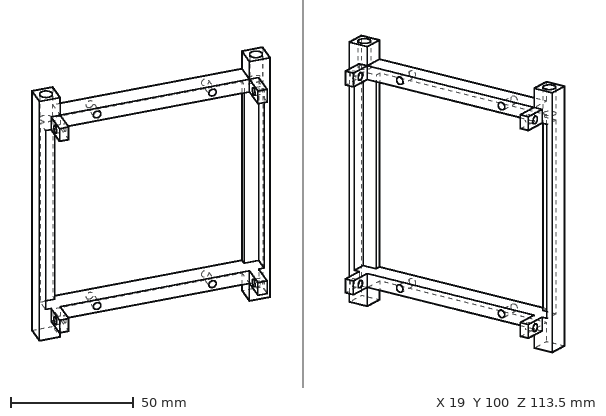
import cadquery as cq

height = 113.5
width = 100.0
depth = 19.0

post = 9.0
post_hole_diameter = 5.2
post_hole_depth = 11.4

wall = 2.6

bar_height = 6.0
bar_center_offset = 45.4
bar_hole_spacing = 50.0
screw_diameter = 3.2

tab_thickness = 4.0
tab_length = depth - post
tab_hole_x = post + tab_length / 2

post_y = (width - post) / 2
tab_y = width / 2 - post + tab_thickness / 2
recess_depth = post - wall
recess_height = 2 * bar_center_offset - bar_height
recess_y = width / 2 - post + recess_depth / 2
bar_levels = (-bar_center_offset, bar_center_offset)
sides = (-1, 1)


def box_at(x_size, y_size, z_size, x_start, y, z):
    """Box starting at x_start and centred on y and z."""
    box = cq.Workplane("XY").box(x_size, y_size, z_size, centered=(False, True, True))
    return box.translate((x_start, y, z))


def drilled_post(side):
    body = box_at(post, post, height, 0, side * post_y, 0)
    top_hole_plane = body.faces(">Z").workplane(origin=(post / 2, side * post_y, 0))
    body = top_hole_plane.hole(post_hole_diameter, post_hole_depth)
    recess = box_at(recess_depth, recess_depth, recess_height, wall, side * recess_y, 0)
    return body.cut(recess)


def drilled_bar(z):
    bar = box_at(post, width - 2 * post, bar_height, 0, 0, z)
    holes = (
        cq.Workplane("YZ")
        .pushPoints([(side * bar_hole_spacing / 2, z) for side in sides])
        .circle(screw_diameter / 2)
        .extrude(post)
    )
    return bar.cut(holes)


def drilled_tab(side, z):
    tab = box_at(tab_length, tab_thickness, bar_height, post, side * tab_y, z)
    hole = (
        cq.Workplane("XZ", origin=(tab_hole_x, side * tab_y, z))
        .circle(screw_diameter / 2)
        .extrude(tab_thickness, both=True)
    )
    return tab.cut(hole)


result = drilled_post(-1).union(drilled_post(1))
for level in bar_levels:
    result = result.union(drilled_bar(level))
    for side in sides:
        result = result.union(drilled_tab(side, level))